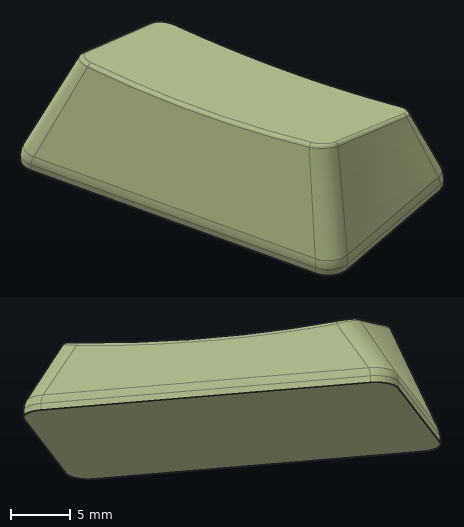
import cadquery as cq
import math

length = 32.45
width = 18.17
base_corner_radius = 1.95
skirt_height = 0.62

band_top_z = 1.35
band_side_inset = 0.15
band_front_inset = 0.2
band_back_inset = 0.03

top_length = 25.38
top_front_y = -4.95
top_front_z = 10.05
top_back_y = 8.75
top_back_z = 6.15
top_corner_radius = 1.8

rim_drop = 0.13
dish_depth = 0.68
rim_radius = 0.4

top_run = top_back_y - top_front_y
top_fall = top_front_z - top_back_z
top_width = math.hypot(top_run, top_fall)
tilted_plane = cq.Plane(
    origin=(0, (top_front_y + top_back_y) / 2, (top_front_z + top_back_z) / 2),
    xDir=(1, 0, 0),
    normal=(0, top_fall, top_run),
)


def rounded_rectangle(size_x, size_y, radius):
    return cq.Sketch().rect(size_x, size_y).vertices().fillet(radius)


def band_outline(fraction):
    """Level outline at a fraction of the band height, along a parabola that starts upright."""
    inset = fraction**2
    outline = rounded_rectangle(
        length - 2 * band_side_inset * inset,
        width - (band_front_inset + band_back_inset) * inset,
        base_corner_radius,
    )
    centre_y = (band_front_inset - band_back_inset) / 2 * inset
    height = skirt_height + (band_top_z - skirt_height) * fraction
    return outline.moved(cq.Location(cq.Vector(0, centre_y, height)))


def make_blank():
    """Upright skirt, curved band, then ruled walls up to the tilted top."""
    base_outline = rounded_rectangle(length, width, base_corner_radius)
    top_outline = rounded_rectangle(top_length, top_width, top_corner_radius).moved(tilted_plane.location)
    skirt = cq.Workplane("XY").placeSketch(base_outline).extrude(skirt_height)
    band_sections = [band_outline(fraction) for fraction in (0, 0.5, 1)]
    band = cq.Workplane("XY").placeSketch(*band_sections).loft()
    walls = cq.Workplane("XY").placeSketch(band_outline(1), top_outline).loft(ruled=True)
    return skirt.union(band).union(walls)


def make_dish_cutter():
    """Large cylinder lying along the slope of the top."""
    half_length = top_length / 2
    dish_radius = (half_length**2 + dish_depth**2) / (2 * dish_depth)
    axis_height = dish_radius - dish_depth - rim_drop
    section_plane = cq.Plane(
        origin=tilted_plane.toWorldCoords((0, 0, axis_height)).toTuple(),
        xDir=(1, 0, 0),
        normal=tilted_plane.yDir.toTuple(),
    )
    return cq.Workplane(section_plane).circle(dish_radius).extrude(width, both=True)


dished = make_blank().cut(make_dish_cutter())
top_face = dished.faces(cq.selectors.CenterNthSelector(tilted_plane.zDir, -1))
result = top_face.edges().fillet(rim_radius)